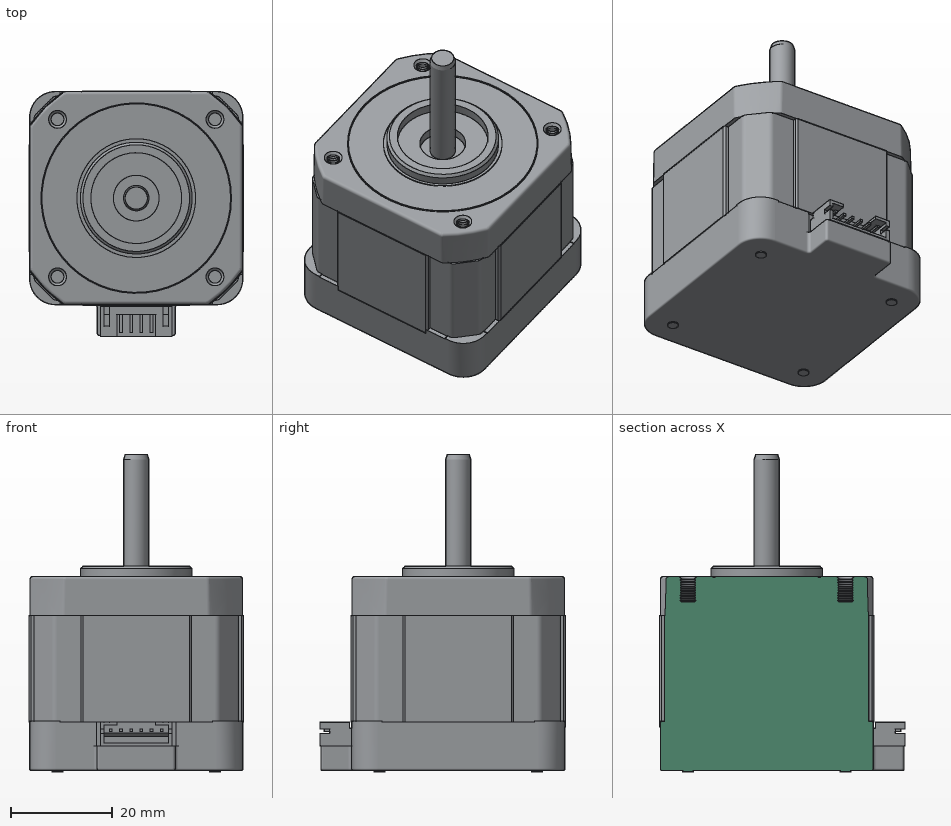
import cadquery as cq

BASE_BOTTOM = 0.25
STATOR_BOTTOM = 9.8
CAP_BOTTOM = 30.7
CAP_TOP = 38.5
BOSS_TOP = 40.5
SHAFT_TOP = 62.45

STATOR_HALF = 21.1
PANEL_HALF = 10.5
PANEL_BEVEL = 0.4
STATOR_RECESS = 1.0
REAR_TAB_BOTTOM = 8.9
STATOR_CORNER = 16.1
STATOR_CORNER_FILLET = 1.4

CAP_HALF = 20.9
BASE_HALF = 21.0
BASE_CORNER_RADIUS = 5.1
BASE_EDGE_FILLET = 0.4
BASE_PAD_START = 15.0
BASE_PAD_HEIGHT = 0.2
CAP_CORNER_RADIUS_BOTTOM = 25.35
CAP_CORNER_RADIUS_TOP = 25.25
CAP_CORNER_FILLET = 1.0
CAP_EDGE_FILLET = 0.6

SCREW_OFFSET = 15.5
SCREW_TIP_RADIUS = 1.05
THREAD_MINOR_RADIUS = 1.25
THREAD_MAJOR_RADIUS = 1.5
THREAD_MOUTH_RADIUS = 1.75
THREAD_PITCH = 0.5
THREAD_TURNS = 9

BOSS_RADIUS = 11.0
BOSS_CHAMFER = 0.5
BOSS_BORE_RADIUS = 8.95
SHAFT_WELL_RADIUS = 4.5
SHAFT_WELL_DEPTH = 2.0
MOAT_RADIUS = 11.7
RING_RADIUS = 18.75
RING_WIDTH = 0.2
RING_DEPTH = 0.2
SHAFT_RADIUS = 2.5
SHAFT_TIP_RADIUS = 2.2
SHAFT_TIP_LENGTH = 1.0

PEDESTAL_HALF = 7.7
PEDESTAL_FRONT = -27.05
PEDESTAL_TOP = 5.1
PEDESTAL_CORNER_FILLET = 0.5
PEDESTAL_ROOT_FILLET = 0.6

HOUSING_HALF = 7.05
HOUSING_FRONT = -27.25
POCKET_HALF = 7.8
POCKET_DEPTH = 0.5
HOUSING_GAP = 0.4
HOUSING_GAP_BOTTOM = 8.6
CAVITY_HALF = 6.3
CAVITY_BACK = -22.9
CAVITY_FLOOR = 5.7
CAVITY_CEILING = 9.2
UNDERCUT_TOP = 7.6
UNDERCUT_BOTTOM = 7.0
UNDERCUT_DEPTH = 0.95
WINDOW_HALF = 3.8
SLOT_INNER = 5.3
SLOT_FRONT = -25.2
NOTCH_BACK = -25.3
NOTCH_BOTTOM = 7.55
NOTCH_TOP = 8.45
PIN_COUNT = 6
PIN_PITCH = 2.0
PIN_SIZE = 0.5
PIN_FRONT = -26.4
PIN_CENTER = 8.2

SCREW_POINTS = [(x, y) for x in (-SCREW_OFFSET, SCREW_OFFSET) for y in (-SCREW_OFFSET, SCREW_OFFSET)]


def block(x_range, y_range, z_range):
    """Box spanning the given (low, high) ranges."""
    lows, highs = zip(x_range, y_range, z_range)
    sizes = [high - low for low, high in zip(lows, highs)]
    return cq.Workplane("XY").box(*sizes, centered=False).translate(lows)


def disc(radius, bottom, top):
    """Cylinder on the motor axis."""
    return cq.Workplane("XY").workplane(offset=bottom).circle(radius).extrude(top - bottom)


def square_block(half, bottom, top):
    return block((-half, half), (-half, half), (bottom, top))


def make_stator():
    height = CAP_BOTTOM - STATOR_BOTTOM
    core_half = STATOR_HALF - STATOR_RECESS
    corner_leg = core_half - STATOR_CORNER
    plane = cq.Workplane("XY").workplane(offset=STATOR_BOTTOM)
    stator = square_block(core_half, STATOR_BOTTOM, CAP_BOTTOM).edges("|Z").chamfer(corner_leg)
    stator = stator.edges("|Z").fillet(STATOR_CORNER_FILLET)
    for length, width in ((2 * STATOR_HALF, 2 * (PANEL_HALF + PANEL_BEVEL)),
                          (2 * (PANEL_HALF + PANEL_BEVEL), 2 * STATOR_HALF)):
        panel = plane.rect(length, width).extrude(height).edges("|Z").chamfer(PANEL_BEVEL)
        stator = stator.union(panel)
    tab = block((-PANEL_HALF, PANEL_HALF), (STATOR_HALF - STATOR_RECESS, STATOR_HALF),
                (REAR_TAB_BOTTOM, STATOR_BOTTOM))
    return stator.union(tab)


def make_base():
    pad_size = BASE_HALF - BASE_PAD_START
    pad_center = (BASE_HALF + BASE_PAD_START) / 2
    base = square_block(BASE_HALF, BASE_BOTTOM, STATOR_BOTTOM)
    pads = (
        cq.Workplane("XY").workplane(offset=STATOR_BOTTOM)
        .rect(2 * pad_center, 2 * pad_center, forConstruction=True).vertices()
        .rect(pad_size, pad_size).extrude(BASE_PAD_HEIGHT)
    )
    rounded = square_block(BASE_HALF, BASE_BOTTOM, STATOR_BOTTOM + BASE_PAD_HEIGHT)
    rounded = rounded.edges("|Z").fillet(BASE_CORNER_RADIUS)
    base = base.union(pads).intersect(rounded)

    pedestal = block((-PEDESTAL_HALF, PEDESTAL_HALF), (PEDESTAL_FRONT, 0), (BASE_BOTTOM, PEDESTAL_TOP))
    pedestal = pedestal.edges("|Z and <Y").fillet(PEDESTAL_CORNER_FILLET)
    base = base.union(pedestal)
    root_reach = PEDESTAL_ROOT_FILLET / 2
    root_half = PEDESTAL_HALF + root_reach
    root_edges = cq.selectors.BoxSelector(
        (-root_half, -BASE_HALF - root_reach, BASE_BOTTOM), (root_half, -BASE_HALF + root_reach, PEDESTAL_TOP))
    base = base.edges("|Z").edges(root_edges).fillet(PEDESTAL_ROOT_FILLET)
    base = base.faces("<Z").edges().fillet(BASE_EDGE_FILLET)

    base_front = -BASE_HALF
    pocket = block((-POCKET_HALF, POCKET_HALF), (base_front, base_front + POCKET_DEPTH),
                   (PEDESTAL_TOP, STATOR_BOTTOM))
    base = base.cut(pocket)

    screw_tips = (
        cq.Workplane("XY").pushPoints(SCREW_POINTS).circle(SCREW_TIP_RADIUS).extrude(STATOR_BOTTOM)
    )
    return base.union(screw_tips)


def make_thread_cutter():
    """Tapped hole with a conical mouth and ring grooves, its top at the origin."""
    mouth_depth = THREAD_MOUTH_RADIUS - THREAD_MINOR_RADIUS
    points = [(0, 0), (THREAD_MOUTH_RADIUS, 0), (THREAD_MINOR_RADIUS, -mouth_depth)]
    for turn in range(THREAD_TURNS):
        crest = -mouth_depth - turn * THREAD_PITCH
        points.append((THREAD_MAJOR_RADIUS, crest - THREAD_PITCH / 2))
        points.append((THREAD_MINOR_RADIUS, crest - THREAD_PITCH))
    points.append((0, points[-1][1]))
    return cq.Workplane("XZ").polyline(points).close().revolve(360, (0, 0), (0, 1))


def make_cap():
    cone = cq.Workplane(cq.Solid.makeCone(
        CAP_CORNER_RADIUS_BOTTOM, CAP_CORNER_RADIUS_TOP, CAP_TOP - CAP_BOTTOM, cq.Vector(0, 0, CAP_BOTTOM)))
    cap = square_block(CAP_HALF, CAP_BOTTOM, CAP_TOP).intersect(cone)
    cap = cap.edges("not(#Z or <Z or >Z)").fillet(CAP_CORNER_FILLET)
    cap = cap.faces(">Z").edges().fillet(CAP_EDGE_FILLET)

    ring_floor = CAP_TOP - RING_DEPTH
    ring = disc(RING_RADIUS, ring_floor, CAP_TOP).cut(disc(RING_RADIUS - RING_WIDTH, ring_floor, CAP_TOP))
    moat = disc(MOAT_RADIUS, ring_floor, CAP_TOP)
    boss = disc(BOSS_RADIUS, ring_floor, BOSS_TOP).faces(">Z").edges().chamfer(BOSS_CHAMFER)
    cap = cap.cut(ring).cut(moat).union(boss)
    cap = cap.cut(disc(BOSS_BORE_RADIUS, CAP_TOP, BOSS_TOP))
    cap = cap.cut(disc(SHAFT_WELL_RADIUS, CAP_TOP - SHAFT_WELL_DEPTH, CAP_TOP))

    cutter = make_thread_cutter()
    for x, y in SCREW_POINTS:
        cap = cap.cut(cutter.translate((x, y, CAP_TOP)))
    return cap


def make_shaft():
    shaft = disc(SHAFT_RADIUS, CAP_BOTTOM, SHAFT_TOP)
    return shaft.faces(">Z").chamfer(SHAFT_TIP_LENGTH, SHAFT_RADIUS - SHAFT_TIP_RADIUS)


def make_connector():
    housing_range = (-HOUSING_HALF, HOUSING_HALF)
    housing_back = -BASE_HALF + POCKET_DEPTH
    gap_front = -BASE_HALF - HOUSING_GAP
    housing = block(housing_range, (HOUSING_FRONT, housing_back), (PEDESTAL_TOP, STATOR_BOTTOM))
    gap = block(housing_range, (gap_front, housing_back), (HOUSING_GAP_BOTTOM, STATOR_BOTTOM))
    cavity = block((-CAVITY_HALF, CAVITY_HALF), (HOUSING_FRONT, CAVITY_BACK), (CAVITY_FLOOR, CAVITY_CEILING))
    window = block((-WINDOW_HALF, WINDOW_HALF), (HOUSING_FRONT, CAVITY_BACK), (CAVITY_CEILING, STATOR_BOTTOM))
    notch = block(housing_range, (HOUSING_FRONT, NOTCH_BACK), (NOTCH_BOTTOM, NOTCH_TOP))
    undercut = (
        cq.Workplane("YZ").workplane(offset=-CAVITY_HALF)
        .polyline([(CAVITY_BACK, UNDERCUT_TOP), (CAVITY_BACK + UNDERCUT_DEPTH, UNDERCUT_BOTTOM),
                   (CAVITY_BACK + UNDERCUT_DEPTH, CAVITY_FLOOR), (CAVITY_BACK, CAVITY_FLOOR)])
        .close().extrude(2 * CAVITY_HALF)
    )
    housing = housing.cut(undercut).cut(gap).cut(cavity).cut(window).cut(notch)

    slot = block((SLOT_INNER, CAVITY_HALF), (SLOT_FRONT, gap_front), (CAVITY_CEILING, STATOR_BOTTOM))
    housing = housing.cut(slot).cut(slot.mirror("YZ"))

    for index in range(PIN_COUNT):
        x = (index - (PIN_COUNT - 1) / 2) * PIN_PITCH
        pin = block(
            (x - PIN_SIZE / 2, x + PIN_SIZE / 2),
            (PIN_FRONT, CAVITY_BACK),
            (PIN_CENTER - PIN_SIZE / 2, PIN_CENTER + PIN_SIZE / 2))
        housing = housing.union(pin)
    return housing


result = make_base().union(make_stator()).union(make_cap()).union(make_shaft()).union(make_connector())